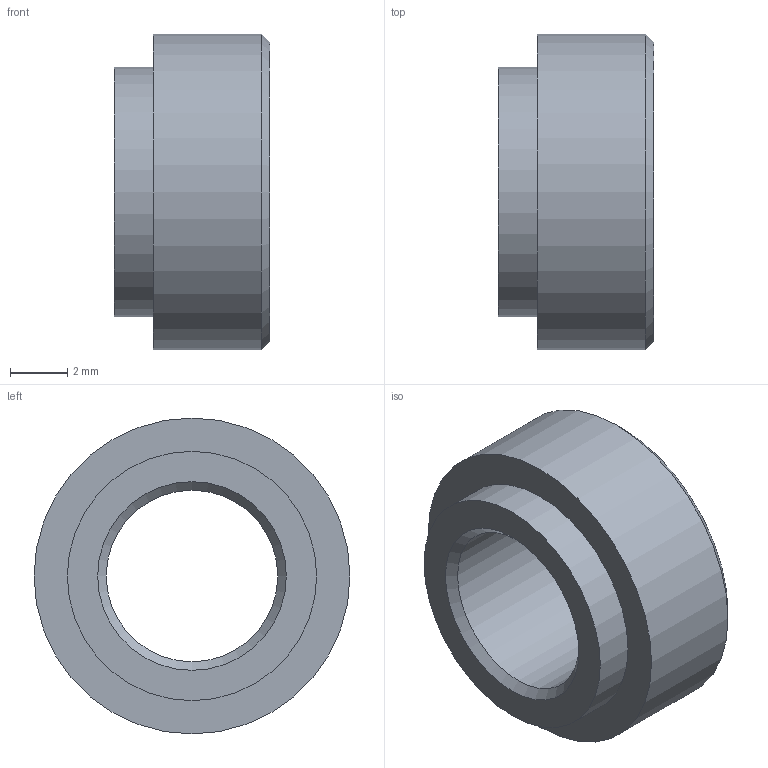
import cadquery as cq

total_length = 5.45
shoulder_length = 1.37
body_diameter = 11.05
shoulder_diameter = 8.72
bore_diameter = 6.0
edge_chamfer = 0.3

body_length = total_length - shoulder_length


def disc(diameter, start_x, length):
    """Solid cylinder along +X, beginning at start_x."""
    return cq.Workplane("YZ", origin=(start_x, 0, 0)).circle(diameter / 2).extrude(length)


def make_body():
    """Large collar with a chamfered outer edge on its +X end."""
    body = disc(body_diameter, shoulder_length, body_length)
    return body.faces(">X").edges().chamfer(edge_chamfer)


def make_shoulder():
    """Smaller spigot on the -X end of the collar."""
    return disc(shoulder_diameter, 0, shoulder_length)


def cut_bore(blank):
    """Through bore with a chamfered mouth on the -X end."""
    bored = blank.cut(disc(bore_diameter, 0, total_length))
    bore_mouth = bored.faces("<X").edges(cq.selectors.RadiusNthSelector(0))
    return bore_mouth.chamfer(edge_chamfer)


result = cut_bore(make_shoulder().union(make_body()))